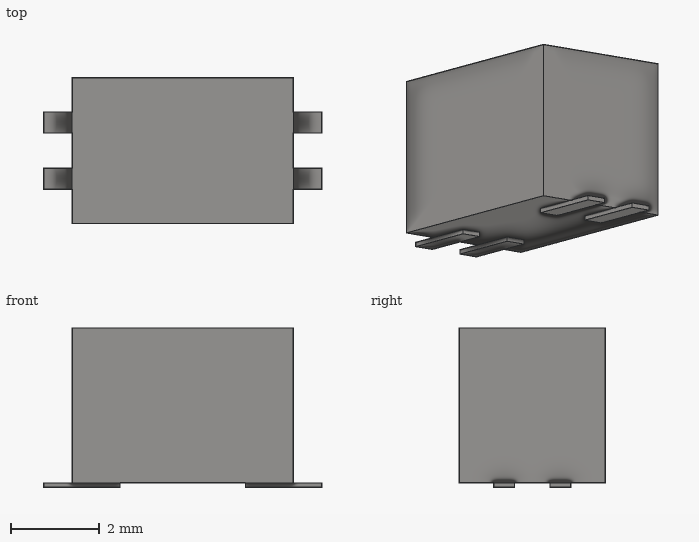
import cadquery as cq

OVERALL_LENGTH = 6.28
OVERALL_HEIGHT = 3.6
HOUSING_LENGTH = 5.0
HOUSING_WIDTH = 3.3
LEAD_LENGTH = 1.73
LEAD_WIDTH = 0.48
LEAD_THICKNESS = 0.1
LEAD_PITCH = 1.27

HOUSING_HEIGHT = OVERALL_HEIGHT - LEAD_THICKNESS
LEAD_CENTER_X = (OVERALL_LENGTH - LEAD_LENGTH) / 2


def make_housing():
    """Plain block standing on top of the leads."""
    return (
        cq.Workplane("XY")
        .box(HOUSING_LENGTH, HOUSING_WIDTH, HOUSING_HEIGHT, centered=(True, True, False))
        .translate((0, 0, LEAD_THICKNESS))
    )


def make_lead(x_side, y_side):
    """Flat lead under the housing; x_side and y_side are -1 or 1."""
    return (
        cq.Workplane("XY")
        .box(LEAD_LENGTH, LEAD_WIDTH, LEAD_THICKNESS, centered=(True, True, False))
        .translate((x_side * LEAD_CENTER_X, y_side * LEAD_PITCH / 2, 0))
    )


housing = make_housing()
leads = [make_lead(x_side, y_side) for x_side in (-1, 1) for y_side in (-1, 1)]

result = cq.Compound.makeCompound([housing.val(), *[lead.val() for lead in leads]])